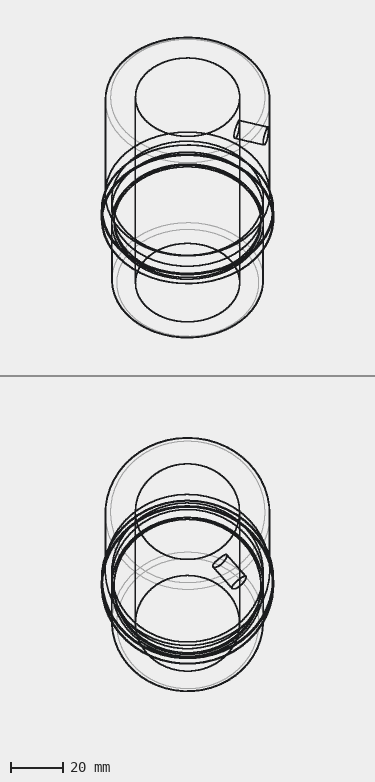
import cadquery as cq

total_height = 108.0
collar_top = 42.8
collar_thickness = 5.9
collar_bottom = collar_top - collar_thickness
undercut_height = 1.6
undercut_bottom = collar_bottom - undercut_height
body_bottom = 51.6

body_radius = 31.5
shank_radius = 29.0
collar_diameter = 66.0
collar_radius = collar_diameter / 2
bore_radius = 20.0
undercut_depth = 0.9
undercut_radius = shank_radius - undercut_depth

top_fillet = 1.9
base_fillet = 1.8
collar_chamfer = 0.3

cross_hole_diameter = 7.0
cross_hole_height = 95.9


def cylinder(radius, bottom, top):
    """Upright cylinder on the Z axis between two heights."""
    return cq.Workplane("XY").workplane(offset=bottom).circle(radius).extrude(top - bottom)


def make_shank():
    """Lower cylinder with a rounded base edge."""
    return cylinder(shank_radius, 0, undercut_bottom).faces("<Z").edges().fillet(base_fillet)


def make_undercut():
    """Narrow relief just below the collar."""
    return cylinder(undercut_radius, undercut_bottom, collar_bottom)


def make_collar():
    """Flange ring with lightly broken outer edges."""
    return cylinder(collar_radius, collar_bottom, collar_top).edges().chamfer(collar_chamfer)


def make_neck():
    """Plain neck between the collar and the body."""
    return cylinder(shank_radius, collar_top, body_bottom)


def make_body():
    """Upper cylinder with a rounded rim and a 45 degree taper down to the neck."""
    taper = body_radius - shank_radius
    body = cylinder(body_radius, body_bottom - taper, total_height)
    return body.faces("<Z").edges().chamfer(taper).faces(">Z").edges().fillet(top_fillet)


def make_cross_hole():
    """Cutter running from the bore axis out through the +X wall."""
    plane = cq.Workplane("YZ").center(0, cross_hole_height)
    return plane.circle(cross_hole_diameter / 2).extrude(collar_radius)


sleeve = make_shank()
for section in (make_undercut(), make_collar(), make_neck(), make_body()):
    sleeve = sleeve.union(section)

bore = cylinder(bore_radius, 0, total_height)
result = sleeve.cut(bore).cut(make_cross_hole())